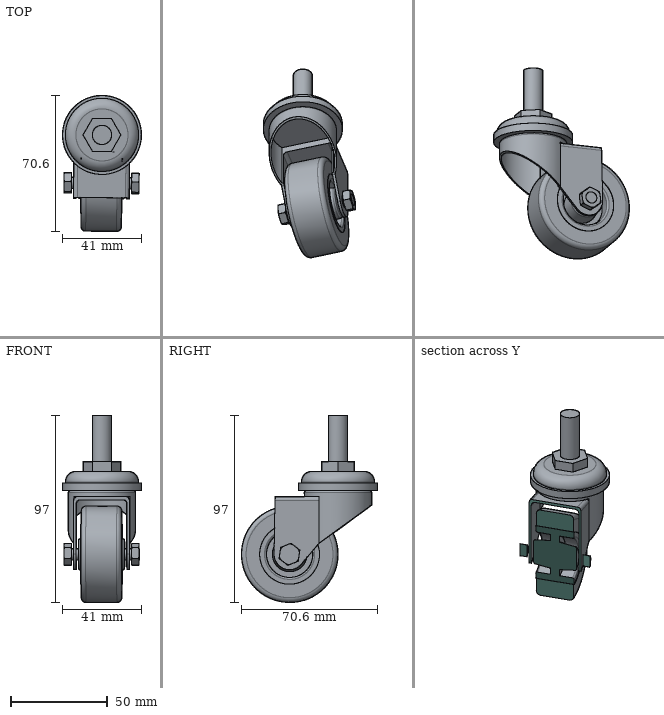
import cadquery as cq
import math

swivel_turn = -0.5

wheel_diameter = 50.0
wheel_width = 21.0
tread_edge_radius = 2.5
wheel_offset = 25.0
axle_z = wheel_diameter / 2

hub_diameter = 31.0
hub_width = 21.5
recess_diameter = 24.0
recess_edge_radius = 1.0
recess_depth = 8.0
boss_root_diameter = 18.0
boss_end_diameter = 16.0
boss_edge_radius = 1.0
boss_length = 24.0

axle_diameter = 6.0
bolt_hex_flats = 10.0
bolt_hex_thickness = 4.0
bolt_hex_face_diameter = 10.6
bolt_hex_chamfer = 0.4
bolt_hex_angle = 8.0
bolt_hex_gap = 1.0

fork_drum_diameter = 35.0
fork_drum_edge_radius = 1.0
fork_drum_wall = 1.0
fork_width = 29.0
fork_leg_wall = 1.4
fork_roof_wall = 1.7
fork_outer_corner = 2.0
fork_inner_corner = 2.0
fork_tip_radius = 8.0
fork_front = 32.5
fork_roof_z = 54.9
fork_back_z = 50.5
fork_knee_z = 30.6

flange_diameter = 41.0
flange_bottom_z = 58.0
flange_thickness = 4.0

cap_diameter = 38.0
cap_height = 6.0
cap_edge_radius = 5.5

stem_hex_flats = 17.0
stem_hex_height = 5.0
stem_diameter = 10.0
stem_length = 24.0

fork_drum_radius = fork_drum_diameter / 2
knee_y = -math.sqrt(fork_drum_radius**2 - (fork_width / 2) ** 2)
cap_bottom_z = flange_bottom_z + flange_thickness
cap_top_z = cap_bottom_z + cap_height
hex_inner_x = fork_width / 2 + bolt_hex_gap
hex_outer_x = hex_inner_x + bolt_hex_thickness


def across_corners(flats):
    return flats / math.cos(math.pi / 6)


def x_cylinder(diameter, length):
    """Cylinder lying on the wheel axis, centred on X = 0."""
    return (
        cq.Workplane("YZ", origin=(-length / 2, -wheel_offset, axle_z))
        .circle(diameter / 2)
        .extrude(length)
    )


def turned(body):
    return body.rotate((0, 0, 0), (0, 0, 1), swivel_turn)


def make_stem():
    hexagon = (
        cq.Workplane("XY", origin=(0, 0, cap_top_z))
        .polygon(6, across_corners(stem_hex_flats))
        .extrude(stem_hex_height)
    )
    return hexagon.faces(">Z").workplane().circle(stem_diameter / 2).extrude(stem_length)


def make_cap():
    disc = cq.Workplane("XY", origin=(0, 0, cap_bottom_z)).circle(cap_diameter / 2).extrude(cap_height)
    return disc.faces(">Z").edges().fillet(cap_edge_radius)


def make_flange():
    return (
        cq.Workplane("XY", origin=(0, 0, flange_bottom_z))
        .circle(flange_diameter / 2)
        .extrude(flange_thickness)
    )


def tangent_point(y, z, side):
    """Point where a line from (y, z) touches the leg tip circle; side picks one of the two."""
    dy = y + wheel_offset
    dz = z - axle_z
    angle = math.atan2(dz, dy) + side * math.acos(fork_tip_radius / math.hypot(dy, dz))
    return (
        -wheel_offset + fork_tip_radius * math.cos(angle),
        axle_z + fork_tip_radius * math.sin(angle),
    )


def make_fork_side_profile():
    """Side outline of the whole fork, extruded as wide as the drum."""
    back_touch = tangent_point(knee_y, fork_knee_z, -1)
    front_touch = tangent_point(-fork_front, fork_roof_z, 1)
    tip = (-wheel_offset, axle_z - fork_tip_radius)
    return (
        cq.Workplane("YZ", origin=(-fork_drum_radius, 0, 0))
        .moveTo(fork_drum_radius, flange_bottom_z)
        .lineTo(fork_drum_radius, fork_back_z)
        .lineTo(knee_y, fork_knee_z)
        .lineTo(*back_touch)
        .threePointArc(tip, front_touch)
        .lineTo(-fork_front, fork_roof_z)
        .lineTo(-fork_front, flange_bottom_z)
        .close()
        .extrude(fork_drum_diameter)
    )


def make_bracket_block(width, top_z, corner_radius, back_y):
    """Upright block from the floor to top_z with rounded long top edges, reaching past the wheel."""
    reach = wheel_offset + wheel_diameter
    block = cq.Workplane("XY").box(width, reach, top_z, centered=(True, False, False))
    block = block.translate((0, back_y - reach, 0))
    return block.edges("|Y and >Z").fillet(corner_radius)


def make_fork():
    drum = cq.Workplane("XY").circle(fork_drum_radius).extrude(flange_bottom_z)
    drum = drum.faces(">Z").edges().fillet(fork_drum_edge_radius)

    bracket = make_bracket_block(fork_width, fork_roof_z, fork_outer_corner, knee_y)
    corner_stock = cq.Workplane("XY").box(
        fork_width, fork_drum_radius + knee_y, fork_roof_z, centered=(True, False, False)
    ).translate((0, -fork_drum_radius, 0))
    drum = drum.cut(corner_stock.cut(bracket))

    drum_cavity_radius = fork_drum_radius - fork_drum_wall
    drum_cavity_height = flange_bottom_z - fork_drum_wall
    drum_cavity_limit = cq.Workplane("XY").box(
        fork_drum_diameter, fork_drum_diameter, drum_cavity_height, centered=(True, False, False)
    ).translate((0, knee_y + fork_drum_wall, 0))
    drum_cavity = cq.Workplane("XY").circle(drum_cavity_radius).extrude(drum_cavity_height)
    drum_cavity = drum_cavity.intersect(drum_cavity_limit)
    leg_cavity = make_bracket_block(
        fork_width - 2 * fork_leg_wall, fork_roof_z - fork_roof_wall, fork_inner_corner, 0
    )

    fork = drum.union(bracket).intersect(make_fork_side_profile())
    fork = fork.cut(drum_cavity).cut(leg_cavity)
    return turned(fork.cut(x_cylinder(axle_diameter, fork_width)))


def make_tire():
    tire = x_cylinder(wheel_diameter, wheel_width).edges().fillet(tread_edge_radius)
    return turned(tire.cut(x_cylinder(hub_diameter, wheel_width)))


def make_boss(side):
    """Cone from the recess floor out to the hub end, with a rounded end edge."""
    floor_x = hub_width / 2 - recess_depth
    cone = cq.Solid.makeCone(
        boss_root_diameter / 2,
        boss_end_diameter / 2,
        boss_length / 2 - floor_x,
        cq.Vector(side * floor_x, -wheel_offset, axle_z),
        cq.Vector(side, 0, 0),
    )
    end_face = ">X" if side > 0 else "<X"
    return cq.Workplane(cone).faces(end_face).edges().fillet(boss_edge_radius)


def make_hub():
    hub = x_cylinder(hub_diameter, hub_width)
    for side in (-1, 1):
        recess_x = side * (hub_width - recess_depth) / 2
        hub = hub.cut(x_cylinder(recess_diameter, recess_depth).translate((recess_x, 0, 0)))
    recess_edges = cq.selectors.RadiusNthSelector(0)
    hub = hub.faces("<X or >X").edges(recess_edges).fillet(recess_edge_radius)
    for side in (-1, 1):
        hub = hub.union(make_boss(side))
    return turned(hub.cut(x_cylinder(axle_diameter, boss_length)))


def make_bolt_hexagon(side):
    """Hexagon with chamfered corners outside one fork leg."""
    middle_x = side * (hex_inner_x + hex_outer_x) / 2
    corners = across_corners(bolt_hex_flats)
    hexagon = (
        cq.Workplane("YZ", origin=(-bolt_hex_thickness / 2, 0, 0))
        .polygon(6, corners)
        .extrude(bolt_hex_thickness)
        .rotate((0, 0, 0), (1, 0, 0), 90 - bolt_hex_angle)
        .translate((0, -wheel_offset, axle_z))
    )
    corner_cut = (corners - bolt_hex_face_diameter) / 2
    blank = x_cylinder(corners, bolt_hex_thickness).faces("<X or >X").edges()
    blank = blank.chamfer(bolt_hex_chamfer, corner_cut)
    return hexagon.intersect(blank).translate((middle_x, 0, 0))


def make_bolt():
    shank = x_cylinder(axle_diameter, 2 * hex_outer_x)
    return turned(make_bolt_hexagon(1).union(shank))


def make_nut():
    return turned(make_bolt_hexagon(-1).cut(x_cylinder(axle_diameter, 2 * hex_outer_x)))


stem = make_stem()
cap = make_cap()
flange = make_flange()
fork = make_fork()
tire = make_tire()
hub = make_hub()
bolt = make_bolt()
nut = make_nut()

result = cq.Compound.makeCompound(
    [
        stem.val(),
        cap.val(),
        flange.val(),
        fork.val(),
        tire.val(),
        hub.val(),
        bolt.val(),
        nut.val(),
    ]
)